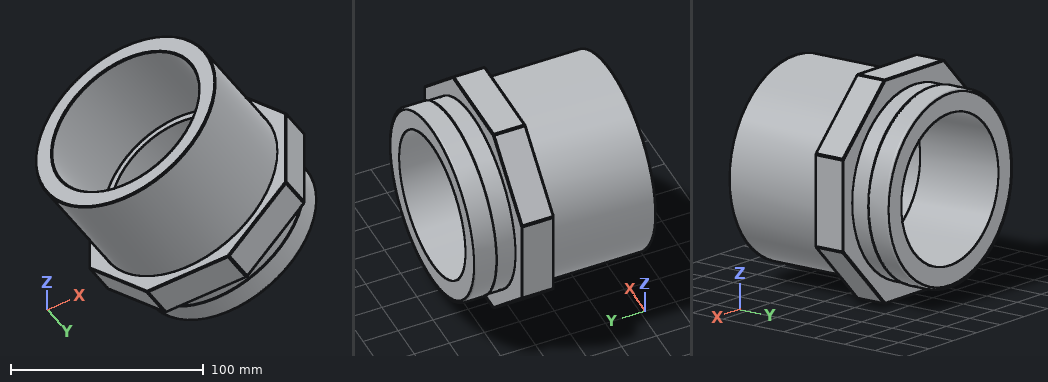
import cadquery as cq

total_length = 102.4
edge_break = 0.5

flats_width = 120.5
flats_count = 8
flange_start = 60.7
flange_length = 18.4

spigot_diameter = 110.0
socket_diameter = 90.0
socket_depth = 51.0
bore_diameter = 82.0

neck_diameter = 105.1
ring_diameter = 106.3
ring_wall = 1.5
ring_length = 12.3
ring_edge_radius = 1.0
ring_start = total_length - ring_length
seat_diameter = ring_diameter - 2 * ring_wall


def cylinder(diameter, start, end):
    """Cylinder on the pipe axis between two Y positions."""
    plane = cq.Workplane("XZ", origin=(0, start, 0))
    return plane.circle(diameter / 2).extrude(start - end)


def make_flange():
    """Octagonal prism, flat sides facing X and Z, with all edges chamfered."""
    plane = cq.Workplane("XZ", origin=(0, flange_start, 0))
    octagon = plane.polygon(flats_count, flats_width, circumscribed=True)
    return octagon.extrude(-flange_length).edges().chamfer(edge_break)


def make_spigot():
    """Solid spigot that ends inside the flange, chamfered at its free end."""
    spigot = cylinder(spigot_diameter, 0, flange_start + flange_length / 2)
    return spigot.faces("<Y").edges().chamfer(edge_break)


def make_bore():
    """Stepped through bore: a wide socket with a chamfered mouth, then a narrower passage."""
    socket = cylinder(socket_diameter, 0, socket_depth)
    mouth_radius = socket_diameter / 2 + edge_break
    mouth = cq.Workplane(
        cq.Solid.makeCone(
            mouth_radius,
            socket_diameter / 2,
            edge_break,
            pnt=cq.Vector(0, 0, 0),
            dir=cq.Vector(0, 1, 0),
        )
    )
    passage = cylinder(bore_diameter, 0, total_length)
    return socket.union(mouth).union(passage)


def make_fitting():
    """Spigot, flange, neck and ring seat in one piece, bored right through."""
    neck = cylinder(neck_diameter, flange_start, ring_start)
    seat = cylinder(seat_diameter, flange_start, total_length)
    return make_flange().union(make_spigot()).union(neck).union(seat).cut(make_bore())


def make_ring():
    """Thin band around the seat at the neck's end, rounded on its outer end edge."""
    band = cylinder(ring_diameter, ring_start, total_length)
    band = band.faces(">Y").edges().fillet(ring_edge_radius)
    return band.cut(cylinder(seat_diameter, ring_start, total_length))


fitting = make_fitting()
ring = make_ring()
result = cq.Compound.makeCompound([fitting.val(), ring.val()])